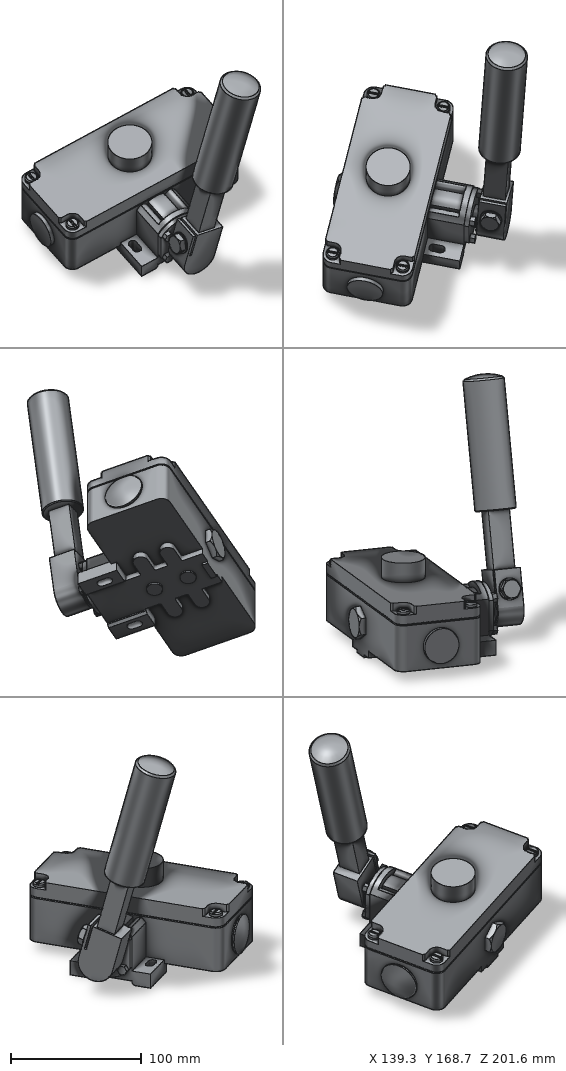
import cadquery as cq
import math


BOX_X = 69.8
BOX_Y = 160.0
BOX_CORNER_R = 7.7
BOX_TOP_Z = 36.5
LID_BOTTOM_Z = 37.7
LID_TOP_Z = 51.2
GASKET_INSET = 2.0

NOTCH_X = 14.0
NOTCH_Y = 14.1
NOTCH_FLOOR_Z = 45.0
NOTCH_CORNER_R = 6.7
NOTCH_EDGE_R = 1.5
SCREW_INSET = 7.5
SCREW_DIA = 10.0
SCREW_TOP_Z = 48.0
SCREW_CHAMFER = 1.0
SCREW_SLOT_W = 1.6
SCREW_SLOT_DEPTH = 1.2

KNOB_DIA = 33.7
KNOB_HEIGHT = 15.5

SHAFT_Z = 18.3
PLATE_PLUG_DIA = 27.8
PLATE_PLUG_T = 3.2
DOME_PLUG_DIA = 31.0
DOME_NECK_DIA = 28.6
DOME_NECK_T = 1.5
DOME_RIM_T = 1.5
DOME_PLUG_T = 5.5
DOME_CROWN_DIA = 29.5
HEX_PLUG_FLATS = 22.5
HEX_PLUG_T = 5.5

SPINE_X_MAX = 30.2
SPINE_Y = 33.9
SPINE_T = 5.5
TAB_X = 4.8
TAB_Y = 15.7
TAB_T = 2.2
PAD_X = 11.5
PAD_WIDTH = 11.9
PAD_REACH = 35.3
PAD_ROOT_R = 1.5
DISC_X = 14.3
DISC_DIA = 12.5
DISC_T = 1.6

HOUSING_X_MAX = 63.3
HOUSING_R = 22.4
HOUSING_Y = 35.9
FLANGE_T = 3.8
FLANGE_R = 21.4
FLANGE_Y = 35.5
WINDOW_X_MAX = 58.3
WINDOW_Y = 28.2
HUB_R = 18.0
HUB_RIB_Y = 14.7
SIDE_RIB_R = 6.9
SIDE_RIB_TOP_Z = 35.5
PLATE_Y = 66.1
PLATE_TOP_Z = 3.0
PLATE_BOTTOM_Z = -8.9
PLATE_CHANNEL_Y = 35.5
PLATE_CHANNEL_CHAMFER = 2.0
SLOT_X = 44.0
SLOT_Y = 25.8
SLOT_LENGTH = 12.3
SLOT_WIDTH = 6.5

COLLAR_R = 8.7
WASHER_R = 12.3
WASHER_T = 1.0
FLANGE_BOLT_OFFSET = 12.7
FLANGE_BOLT_FLATS = 6.9
FLANGE_BOLT_T = 3.8

LEVER_TILT = 15.0
LEVER_X = 82.9
CLAMP_X_SIZE = 21.2
CLAMP_R = 14.3
CLAMP_TOP = 29.6
CLAMP_SLIT_Y = -11.0
CLAMP_SLIT_W = 1.6
CLAMP_BOLT_HEIGHT = 14.1
CLAMP_BOLT_FLATS = 14.0
CLAMP_BOLT_T = 6.0
CLAMP_WASHER_DIA = 17.0
CLAMP_WASHER_T = 1.0
BAR_X_SIZE = 17.3
BAR_Y_SIZE = 15.0
GRIP_R = 16.0
GRIP_BOTTOM = 74.8
GRIP_TOP = 176.4
GRIP_BOTTOM_CHAMFER = 0.8
GRIP_TOP_CHAMFER = 1.6
GRIP_DOME_H = 2.8

BOX_X_MAX = BOX_X / 2
BOX_Y_MAX = BOX_Y / 2


def block(x_min, x_max, y_min, y_max, z_min, z_max):
    """Axis-aligned block between the given limits."""
    size = (x_max - x_min, y_max - y_min, z_max - z_min)
    return cq.Workplane().box(*size, centered=False).translate((x_min, y_min, z_min))


def disc_x(radius, x_min, x_max, y=0, z=SHAFT_Z):
    """Cylinder along X."""
    return cq.Workplane("YZ", origin=(x_min, y, z)).circle(radius).extrude(x_max - x_min)


def hex_head(flats, height):
    """Hexagonal head along +Z with corners on X, its top edge turned down to the flats circle."""
    corners = flats / math.cos(math.pi / 6)
    head = cq.Workplane().polygon(6, corners).extrude(height)
    turned = cq.Workplane().circle(corners / 2).extrude(height)
    turned = turned.faces(">Z").chamfer((corners - flats) / 2)
    return head.intersect(turned)


def rounded_slab(inset, z_min, z_max):
    """Slab with the enclosure's rounded outline, shrunk by the inset."""
    slab = cq.Workplane(origin=(0, 0, z_min)).rect(BOX_X - 2 * inset, BOX_Y - 2 * inset)
    return slab.extrude(z_max - z_min).edges("|Z").fillet(BOX_CORNER_R - inset)


def corner_notch():
    """Cutter for the screw notch at the +X +Y corner of the lid."""
    x_in = BOX_X_MAX - NOTCH_X
    y_in = BOX_Y_MAX - NOTCH_Y
    flare = NOTCH_EDGE_R
    outline = (
        cq.Workplane(origin=(0, 0, NOTCH_FLOOR_Z))
        .moveTo(BOX_X_MAX, y_in - flare)
        .radiusArc((BOX_X_MAX - flare, y_in), flare)
        .lineTo(x_in + NOTCH_CORNER_R, y_in)
        .radiusArc((x_in, y_in + NOTCH_CORNER_R), NOTCH_CORNER_R)
        .lineTo(x_in, BOX_Y_MAX - flare)
        .radiusArc((x_in - flare, BOX_Y_MAX), flare)
        .lineTo(BOX_X_MAX, BOX_Y_MAX)
        .close()
    )
    return outline.extrude(LID_TOP_Z - NOTCH_FLOOR_Z)


def lid_screw():
    """Slotted screw head at the +X +Y corner of the lid."""
    x = BOX_X_MAX - SCREW_INSET
    y = BOX_Y_MAX - SCREW_INSET
    head = cq.Workplane(origin=(x, y, NOTCH_FLOOR_Z)).circle(SCREW_DIA / 2)
    head = head.extrude(SCREW_TOP_Z - NOTCH_FLOOR_Z).faces(">Z").chamfer(SCREW_CHAMFER)
    slot_floor = SCREW_TOP_Z - SCREW_SLOT_DEPTH
    slot = block(x - SCREW_DIA, x + SCREW_DIA, y - SCREW_SLOT_W / 2, y + SCREW_SLOT_W / 2,
                 slot_floor, SCREW_TOP_Z)
    return head.cut(slot)


def at_four_corners(shape):
    """The shape and its mirror images in the XZ and YZ planes."""
    pair = [shape, shape.mirror("YZ")]
    return pair + [one.mirror("XZ") for one in pair]


def enclosure():
    body = rounded_slab(0, 0, BOX_TOP_Z)
    body = body.union(rounded_slab(GASKET_INSET, BOX_TOP_Z, LID_BOTTOM_Z))
    lid = rounded_slab(0, LID_BOTTOM_Z, LID_TOP_Z)
    for notch in at_four_corners(corner_notch()):
        lid = lid.cut(notch)
    for screw in at_four_corners(lid_screw()):
        lid = lid.union(screw)
    knob = cq.Workplane(origin=(0, 0, LID_TOP_Z)).circle(KNOB_DIA / 2).extrude(KNOB_HEIGHT)
    return body.union(lid).union(knob)


def wall_closures():
    """Flat plug on -Y, domed plug on +Y and hexagonal plug on -X."""
    flat = cq.Workplane("XZ", origin=(0, -BOX_Y_MAX, SHAFT_Z)).circle(PLATE_PLUG_DIA / 2)
    flat = flat.extrude(PLATE_PLUG_T)

    rim_start = DOME_NECK_T
    rim_end = rim_start + DOME_RIM_T
    crown_r = DOME_CROWN_DIA / 2
    crown_h = DOME_PLUG_T - rim_end
    sphere_r = (crown_r**2 + crown_h**2) / (2 * crown_h)
    domed = (
        cq.Workplane()
        .lineTo(DOME_NECK_DIA / 2, 0)
        .lineTo(DOME_NECK_DIA / 2, rim_start)
        .lineTo(DOME_PLUG_DIA / 2, rim_start)
        .lineTo(DOME_PLUG_DIA / 2, rim_end)
        .lineTo(crown_r, rim_end)
        .radiusArc((0, DOME_PLUG_T), -sphere_r)
        .close()
        .revolve(360, (0, 0, 0), (0, 1, 0))
        .translate((0, BOX_Y_MAX, SHAFT_Z))
    )

    hexagon = hex_head(HEX_PLUG_FLATS, HEX_PLUG_T)
    hexagon = hexagon.rotate((0, 0, 0), (0, 1, 0), -90).translate((-BOX_X_MAX, 0, SHAFT_Z))
    return [flat, domed, hexagon]


def underside():
    """Spine under the enclosure with two round-ended cross pads, an end tab and two discs."""
    half_spine = SPINE_Y / 2
    base = block(-BOX_X_MAX, SPINE_X_MAX, -half_spine, half_spine, -SPINE_T, 0)
    for x in (-PAD_X, PAD_X):
        pad = cq.Workplane(origin=(x, 0, -SPINE_T)).slot2D(2 * PAD_REACH, PAD_WIDTH, 90)
        base = base.union(pad.extrude(SPINE_T))
    root_reach = PAD_WIDTH / 2 + PAD_ROOT_R
    roots = cq.selectors.BoxSelector(
        (-PAD_X - root_reach, -half_spine - PAD_ROOT_R, -SPINE_T),
        (PAD_X + root_reach, half_spine + PAD_ROOT_R, 0),
    )
    base = base.edges("|Z").edges(roots).fillet(PAD_ROOT_R)
    tab = block(-BOX_X_MAX, TAB_X - BOX_X_MAX, -TAB_Y / 2, TAB_Y / 2, -SPINE_T - TAB_T, -SPINE_T)
    discs = cq.Workplane(origin=(0, 0, -SPINE_T)).pushPoints([(-DISC_X, 0), (DISC_X, 0)])
    discs = discs.circle(DISC_DIA / 2).extrude(-DISC_T)
    return base.union(tab).union(discs)


def mounting_plate():
    """Slotted plate with a chamfered channel along its underside."""
    plate = block(SPINE_X_MAX, HOUSING_X_MAX, -PLATE_Y / 2, PLATE_Y / 2, PLATE_BOTTOM_Z, PLATE_TOP_Z)
    half = PLATE_CHANNEL_Y / 2
    chamfer = PLATE_CHANNEL_CHAMFER
    channel = (
        cq.Workplane("YZ", origin=(SPINE_X_MAX, 0, 0))
        .polyline([
            (-half - chamfer, PLATE_BOTTOM_Z),
            (-half, PLATE_BOTTOM_Z + chamfer),
            (-half, -SPINE_T),
            (half, -SPINE_T),
            (half, PLATE_BOTTOM_Z + chamfer),
            (half + chamfer, PLATE_BOTTOM_Z),
        ])
        .close()
        .extrude(HOUSING_X_MAX - SPINE_X_MAX)
    )
    slots = cq.Workplane(origin=(0, 0, PLATE_BOTTOM_Z))
    slots = slots.pushPoints([(SLOT_X, -SLOT_Y), (SLOT_X, SLOT_Y)]).slot2D(SLOT_LENGTH, SLOT_WIDTH)
    return plate.cut(channel).cut(slots.extrude(PLATE_TOP_Z - PLATE_BOTTOM_Z))


def flat_sides(width):
    """Slab about the shaft that trims round bodies to the given width along Y."""
    x_max = HOUSING_X_MAX + FLANGE_T
    return block(0, x_max, -width / 2, width / 2, SHAFT_Z - HOUSING_R, SHAFT_Z + HOUSING_R)


def housing():
    """Flat-sided, round-topped housing with a ribbed window in its top and an end flange."""
    body = disc_x(HOUSING_R, BOX_X_MAX, HOUSING_X_MAX)
    window_floor = SIDE_RIB_TOP_Z - SIDE_RIB_R
    body_top = SHAFT_Z + HOUSING_R
    window = block(BOX_X_MAX, WINDOW_X_MAX, -WINDOW_Y / 2, WINDOW_Y / 2, window_floor, body_top)
    body = body.cut(window)

    ribs = disc_x(HUB_R, BOX_X_MAX, WINDOW_X_MAX)
    ribs = ribs.intersect(block(BOX_X_MAX, WINDOW_X_MAX, -HUB_RIB_Y / 2, HUB_RIB_Y / 2, SHAFT_Z, body_top))
    for side in (-1, 1):
        ribs = ribs.union(disc_x(SIDE_RIB_R, BOX_X_MAX, WINDOW_X_MAX, side * WINDOW_Y / 2, window_floor))
    body = body.union(ribs.intersect(window))
    body = body.intersect(flat_sides(HOUSING_Y))
    half_y = HOUSING_Y / 2
    foot = block(BOX_X_MAX, HOUSING_X_MAX, -half_y, half_y, PLATE_TOP_Z, SHAFT_Z)
    body = body.union(foot)

    flange = disc_x(FLANGE_R, HOUSING_X_MAX, HOUSING_X_MAX + FLANGE_T)
    return body.union(flange.intersect(flat_sides(FLANGE_Y)))


def shaft_and_bolts():
    """Shaft collar and washer behind the lever clamp, and four hexagonal bolts on the flange."""
    flange_end = HOUSING_X_MAX + FLANGE_T
    clamp_start = LEVER_X - CLAMP_X_SIZE / 2
    parts = disc_x(COLLAR_R, flange_end, clamp_start)
    parts = parts.union(disc_x(WASHER_R, clamp_start - WASHER_T, clamp_start))
    bolt_corners = FLANGE_BOLT_FLATS / math.cos(math.pi / 6)
    bolts = (
        cq.Workplane("YZ", origin=(flange_end, 0, SHAFT_Z))
        .rect(2 * FLANGE_BOLT_OFFSET, 2 * FLANGE_BOLT_OFFSET, forConstruction=True)
        .vertices()
        .polygon(6, bolt_corners)
        .extrude(FLANGE_BOLT_T)
    )
    return parts.union(bolts)


def lever_clamp():
    """Round-ended clamp block with a slit and a hexagonal bolt, upright about the X axis."""
    x_half = CLAMP_X_SIZE / 2
    clamp = disc_x(CLAMP_R, -x_half, x_half, 0, 0)
    clamp = clamp.union(block(-x_half, x_half, -CLAMP_R, CLAMP_R, 0, CLAMP_TOP))
    slit = block(-x_half, x_half, CLAMP_SLIT_Y - CLAMP_SLIT_W / 2, CLAMP_SLIT_Y + CLAMP_SLIT_W / 2,
                 COLLAR_R, CLAMP_TOP)
    washer = cq.Workplane().circle(CLAMP_WASHER_DIA / 2).extrude(CLAMP_WASHER_T)
    bolt = washer.union(hex_head(CLAMP_BOLT_FLATS, CLAMP_BOLT_T))
    bolt = bolt.rotate((0, 0, 0), (1, 0, 0), 90).translate((0, -CLAMP_R, CLAMP_BOLT_HEIGHT))
    return clamp.cut(slit).union(bolt)


def lever_grip():
    """Round grip along Z with chamfered ends and a domed top."""
    crown_r = GRIP_R - GRIP_TOP_CHAMFER
    sphere_r = (crown_r**2 + GRIP_DOME_H**2) / (2 * GRIP_DOME_H)
    return (
        cq.Workplane("XZ")
        .moveTo(0, GRIP_BOTTOM)
        .lineTo(GRIP_R - GRIP_BOTTOM_CHAMFER, GRIP_BOTTOM)
        .lineTo(GRIP_R, GRIP_BOTTOM + GRIP_BOTTOM_CHAMFER)
        .lineTo(GRIP_R, GRIP_TOP - GRIP_TOP_CHAMFER)
        .lineTo(crown_r, GRIP_TOP)
        .radiusArc((0, GRIP_TOP + GRIP_DOME_H), -sphere_r)
        .close()
        .revolve(360, (0, 0, 0), (0, 1, 0))
    )


def lever():
    bar = block(-BAR_X_SIZE / 2, BAR_X_SIZE / 2, -BAR_Y_SIZE / 2, BAR_Y_SIZE / 2, 0, GRIP_BOTTOM)
    upright = lever_clamp().union(bar).union(lever_grip())
    return upright.rotate((0, 0, 0), (1, 0, 0), -LEVER_TILT).translate((LEVER_X, 0, SHAFT_Z))


result = enclosure()
for closure in wall_closures():
    result = result.union(closure)
for component in (underside(), mounting_plate(), housing(), shaft_and_bolts(), lever()):
    result = result.union(component)